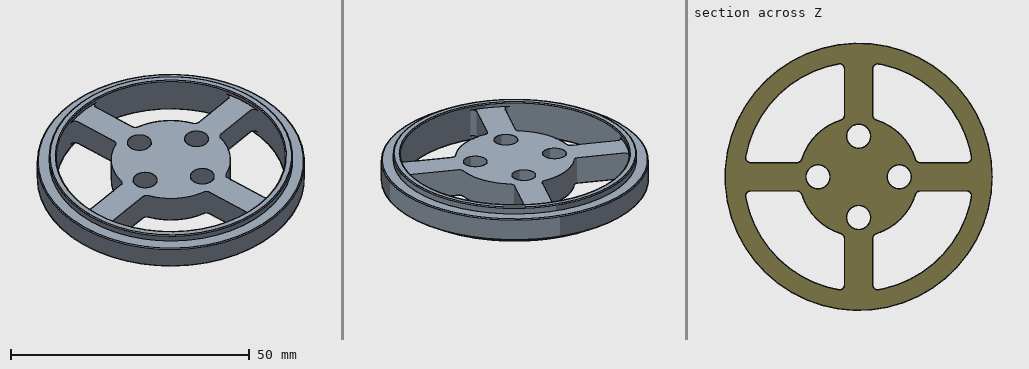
import cadquery as cq

band_diameter = 56.0
shoulder_diameter = 51.0
bore_diameter = 48.0
total_height = 8.0
band_height = 5.0
edge_chamfer = 0.2

hub_diameter = 25.0
web_height = 6.0
spoke_width = 6.0
spoke_count = 4
corner_radius = 1.0

hole_diameter = 5.0
hole_circle_radius = 8.5
hole_count = 4


def centered_disk(diameter, height):
    """Solid disk centred on the origin with its axis along Z."""
    return cq.Workplane("XY").cylinder(height, diameter / 2)


def make_rim():
    """Stepped ring with broken outer and bore edges."""
    band = centered_disk(band_diameter, band_height).edges().chamfer(edge_chamfer)
    shoulders = centered_disk(shoulder_diameter, total_height).edges().chamfer(edge_chamfer)
    bore = centered_disk(bore_diameter, total_height)
    rim = band.union(shoulders).cut(bore)
    bore_edges = cq.selectors.RadiusNthSelector(0)
    return rim.edges(bore_edges).chamfer(edge_chamfer)


def make_web():
    """Hub and spokes: a disk with rounded windows between the spokes."""
    windows = centered_disk(bore_diameter, web_height).cut(centered_disk(hub_diameter, web_height))
    for index in range(spoke_count // 2):
        spoke_pair = cq.Workplane("XY").box(band_diameter, spoke_width, web_height)
        windows = windows.cut(spoke_pair.rotate((0, 0, 0), (0, 0, 1), index * 360 / spoke_count))
    windows = windows.edges("|Z").fillet(corner_radius)
    web_diameter = (bore_diameter + shoulder_diameter) / 2
    return centered_disk(web_diameter, web_height).cut(windows)


def make_holes():
    """Through-hole cutters evenly spaced around the hub axis."""
    return (
        cq.Workplane("XY")
        .polarArray(hole_circle_radius, 0, 360, hole_count)
        .cylinder(total_height, hole_diameter / 2)
    )


result = make_rim().union(make_web()).cut(make_holes())